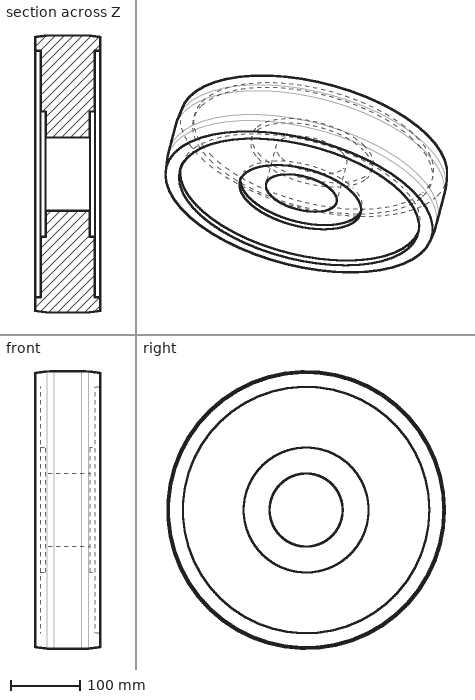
import cadquery as cq
import math

width = 94.0
outer_diameter = 400.0
bore_diameter = 105.0

flat_band_width = 40.0
gentle_cone_outer_width = 60.0
gentle_cone_angle = 1.0
steep_cone_angle = 7.5

web_recess_diameter = 355.0
web_recess_depth = 8.0
hub_recess_diameter = 180.0
hub_recess_depth = 7.0


def cone_drop(inner_width, outer_width, angle):
    """Radius lost along one side of the tread between two symmetric widths."""
    return (outer_width - inner_width) / 2 * math.tan(math.radians(angle))


def tread_body():
    """Solid wheel with the crowned tread, revolved about the X axis."""
    outer_radius = outer_diameter / 2
    shoulder_radius = outer_radius - cone_drop(flat_band_width, gentle_cone_outer_width, gentle_cone_angle)
    edge_radius = shoulder_radius - cone_drop(gentle_cone_outer_width, width, steep_cone_angle)
    half_profile = [
        (flat_band_width / 2, outer_radius),
        (gentle_cone_outer_width / 2, shoulder_radius),
        (width / 2, edge_radius),
        (width / 2, 0),
    ]
    mirrored_profile = [(-x, radius) for x, radius in reversed(half_profile)]
    return (
        cq.Workplane("XY")
        .polyline(mirrored_profile + half_profile)
        .close()
        .revolve(360, (0, 0, 0), (1, 0, 0))
    )


def centred_disc(diameter, length):
    """Disc on the X axis, centred on the middle plane of the wheel."""
    return cq.Workplane("YZ").circle(diameter / 2).extrude(length / 2, both=True)


def recess_pair(diameter, floor_spacing):
    """Material removed from both faces, leaving floors floor_spacing apart."""
    return centred_disc(diameter, width).cut(centred_disc(diameter, floor_spacing))


web_thickness = width - 2 * web_recess_depth
hub_thickness = web_thickness - 2 * hub_recess_depth

result = (
    tread_body()
    .cut(recess_pair(web_recess_diameter, web_thickness))
    .cut(recess_pair(hub_recess_diameter, hub_thickness))
    .cut(centred_disc(bore_diameter, width))
)